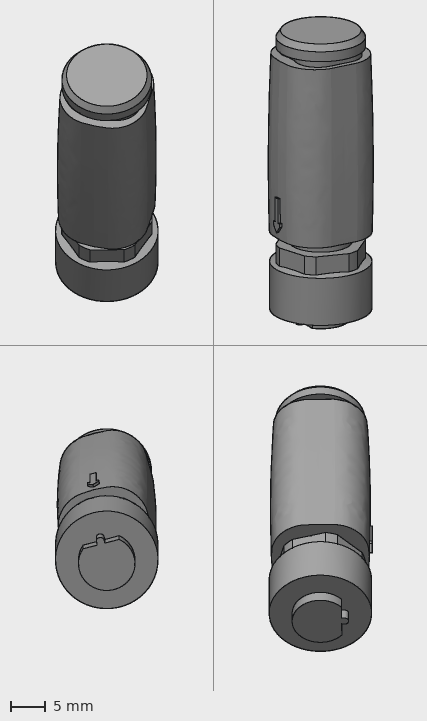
import cadquery as cq
import math

Z_RING_BOTTOM = 1.7
Z_RING_RIM = 8.9
Z_RING_SHOULDER = 9.35
Z_HEX_TOP = 11.85
Z_GRIP_BOTTOM = 13.45
Z_GRIP_WIDEST = 25.5
Z_GRIP_TOP = 40.52
Z_CAP_BOTTOM = 41.55
Z_CAP_EDGE = 43.05
Z_CAP_TOP = 44.0

PLUG_RADIUS = 4.05
RING_RADIUS = 7.35
SHOULDER_RADIUS = 5.3
SHAFT_RADIUS = 4.5
CAP_RADIUS = 6.42
CAP_TOP_RADIUS = 5.75

HEX_ACROSS_FLATS = 12.05
HEX_CORNER_RADIUS = 6.5

KEY_FLAT_DISTANCE = 3.05
RIB_WIDTH = 1.15

GRIP_REACH = 7.52
GRIP_LOBE_SHIFT = 0.3
GRIP_SW_DISTANCE = 6.65
GRIP_SW_HALF_WIDTH = 2.2
GRIP_NW_DISTANCE = 7.05
GRIP_NW_HALF_WIDTH = 2.05
GRIP_NW_RIDGE = 0.15
GRIP_BOTTOM_SCALE = 0.98
GRIP_TOP_SCALE = 0.95

NECK_REACH = 6.05
NECK_LOBE_SHIFT = -0.25
NECK_SW_DISTANCE = 5.4
NECK_SW_HALF_WIDTH = 1.6
NECK_NW_DISTANCE = 4.9
NECK_NW_HALF_WIDTH = 0.85

ARROW_FACE_DISTANCE = 7.45
ARROW_ROOT_DISTANCE = 6.15
ARROW_SHAFT_WIDTH = 0.92
ARROW_HEAD_WIDTH = 1.65
Z_ARROW_TOP = 19.85
Z_ARROW_HEAD_TOP = 16.15
Z_ARROW_HEAD_SIDE = 15.6
Z_ARROW_TIP = 14.55

NE_ANGLE = 45
NW_ANGLE = 135
SW_ANGLE = 225
SE_ANGLE = 315


def side_point(angle, distance, along):
    """Point at a distance outward along an angle, moved sideways (counter-clockwise positive)."""
    a = math.radians(angle)
    return (
        distance * math.cos(a) - along * math.sin(a),
        distance * math.sin(a) + along * math.cos(a),
    )


def lobed_outline(z, scale, reach, shift, sw_distance, sw_half, nw_distance, nw_half, nw_ridge=0):
    """Four flats joined by four arcs that bulge to `reach` near the X and Y axes."""

    def flat(angle, distance, half, ridge):
        ends_and_middle = [(distance, -half), (distance + ridge, 0), (distance, half)]
        return [side_point(angle, scale * d, scale * along) for d, along in ends_and_middle]

    flats = [
        flat(NE_ANGLE, sw_distance, sw_half, 0),
        flat(NW_ANGLE, nw_distance, nw_half, nw_ridge),
        flat(SW_ANGLE, sw_distance, sw_half, 0),
        flat(SE_ANGLE, nw_distance, nw_half, nw_ridge),
    ]
    tip, offset = scale * reach, scale * shift
    lobe_tips = [(-offset, tip), (-tip, offset), (offset, -tip), (tip, -offset)]

    outline = cq.Workplane("XY", origin=(0, 0, z)).moveTo(*flats[0][0])
    for i, (start, middle, end) in enumerate(flats):
        next_start = flats[(i + 1) % len(flats)][0]
        outline = outline.lineTo(*middle).lineTo(*end).threePointArc(lobe_tips[i], next_start)
    return outline.close()


def grip_section(z, scale):
    section = lobed_outline(
        z, scale, GRIP_REACH, GRIP_LOBE_SHIFT,
        GRIP_SW_DISTANCE, GRIP_SW_HALF_WIDTH,
        GRIP_NW_DISTANCE, GRIP_NW_HALF_WIDTH, GRIP_NW_RIDGE,
    )
    return section.wires().val()


def make_grip():
    sections = [
        grip_section(Z_GRIP_BOTTOM, GRIP_BOTTOM_SCALE),
        grip_section(Z_GRIP_WIDEST, 1),
        grip_section(Z_GRIP_TOP, GRIP_TOP_SCALE),
    ]
    return cq.Workplane(cq.Solid.makeLoft(sections))


def make_neck():
    outline = lobed_outline(
        Z_GRIP_TOP, 1, NECK_REACH, NECK_LOBE_SHIFT,
        NECK_SW_DISTANCE, NECK_SW_HALF_WIDTH,
        NECK_NW_DISTANCE, NECK_NW_HALF_WIDTH,
    )
    return outline.extrude(Z_CAP_BOTTOM - Z_GRIP_TOP)


def cylinder(radius, z_bottom, z_top):
    return cq.Workplane("XY", origin=(0, 0, z_bottom)).circle(radius).extrude(z_top - z_bottom)


def make_cap():
    profile = [
        (0, Z_CAP_BOTTOM),
        (CAP_RADIUS, Z_CAP_BOTTOM),
        (CAP_RADIUS, Z_CAP_EDGE),
        (CAP_TOP_RADIUS, Z_CAP_TOP),
        (0, Z_CAP_TOP),
    ]
    return cq.Workplane("XZ").polyline(profile).close().revolve(360, (0, 0), (0, 1))


def make_ring():
    """Coupling ring with a shallow cone on its upper end."""
    profile = [
        (0, Z_RING_BOTTOM),
        (RING_RADIUS, Z_RING_BOTTOM),
        (RING_RADIUS, Z_RING_RIM),
        (SHOULDER_RADIUS, Z_RING_SHOULDER),
        (0, Z_RING_SHOULDER),
    ]
    return cq.Workplane("XZ").polyline(profile).close().revolve(360, (0, 0), (0, 1))


def make_hex():
    """Hexagon with corners on the X axis, cut back to a circle."""
    across_corners = HEX_ACROSS_FLATS / math.cos(math.pi / 6)
    height = Z_HEX_TOP - Z_RING_RIM
    prism = cq.Workplane("XY", origin=(0, 0, Z_RING_RIM)).polygon(6, across_corners).extrude(height)
    return prism.intersect(cylinder(HEX_CORNER_RADIUS, Z_RING_RIM, Z_HEX_TOP))


def make_plug():
    """Round plug with a keyed flat; drawn with the key on +X, then turned to face the NW side."""
    waste = cq.Workplane("XY").box(
        PLUG_RADIUS, 2 * PLUG_RADIUS, Z_RING_BOTTOM, centered=(False, True, False)
    )
    plug = cylinder(PLUG_RADIUS, 0, Z_RING_BOTTOM).cut(waste.translate((KEY_FLAT_DISTANCE, 0, 0)))

    half = RIB_WIDTH / 2
    nose_start = PLUG_RADIUS - half
    rib = (
        cq.Workplane("XY")
        .moveTo(0, -half)
        .lineTo(nose_start, -half)
        .threePointArc((PLUG_RADIUS, 0), (nose_start, half))
        .lineTo(0, half)
        .close()
        .extrude(Z_RING_BOTTOM)
    )
    return plug.union(rib).rotate((0, 0, 0), (0, 0, 1), NW_ANGLE)


def make_arrow():
    """Arrow block on the NW flat; its root is buried in the grip."""
    shaft = ARROW_SHAFT_WIDTH / 2
    head = ARROW_HEAD_WIDTH / 2
    outline = [
        (-shaft, Z_ARROW_TOP),
        (shaft, Z_ARROW_TOP),
        (shaft, Z_ARROW_HEAD_TOP),
        (head, Z_ARROW_HEAD_TOP),
        (head, Z_ARROW_HEAD_SIDE),
        (0, Z_ARROW_TIP),
        (-head, Z_ARROW_HEAD_SIDE),
        (-head, Z_ARROW_HEAD_TOP),
        (-shaft, Z_ARROW_HEAD_TOP),
    ]
    arrow = (
        cq.Workplane("YZ", origin=(ARROW_ROOT_DISTANCE, 0, 0))
        .polyline(outline)
        .close()
        .extrude(ARROW_FACE_DISTANCE - ARROW_ROOT_DISTANCE)
    )
    return arrow.rotate((0, 0, 0), (0, 0, 1), NW_ANGLE)


result = (
    make_plug()
    .union(make_ring())
    .union(make_hex())
    .union(cylinder(SHAFT_RADIUS, Z_HEX_TOP, Z_GRIP_BOTTOM))
    .union(make_grip())
    .union(make_arrow())
    .union(make_neck())
    .union(make_cap())
)